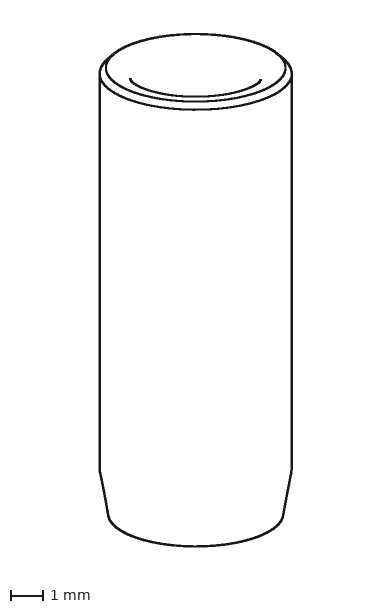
import cadquery as cq
import math

length = 15.0
outer_diameter = 6.0
bore_diameter = 4.0
top_chamfer = 0.2
mouth_fillet = 0.5
lead_in_length = 1.5
lead_in_angle = 10.0

outer_radius = outer_diameter / 2
bore_radius = bore_diameter / 2
lead_in_radius = outer_radius - lead_in_length * math.tan(math.radians(lead_in_angle))


def sleeve_body():
    """Solid pin: tapered lead-in, straight shank and chamfered top, revolved about Z."""
    half_profile = (
        cq.Workplane("XZ")
        .moveTo(0, 0)
        .lineTo(lead_in_radius, 0)
        .lineTo(outer_radius, lead_in_length)
        .lineTo(outer_radius, length - top_chamfer)
        .lineTo(outer_radius - top_chamfer, length)
        .lineTo(0, length)
        .close()
    )
    return half_profile.revolve(360, (0, 0, 0), (0, 1, 0))


def add_bore(body):
    """Cut the through bore and round its upper mouth."""
    bored = body.cut(cq.Workplane("XY").circle(bore_radius).extrude(length))
    return bored.faces(">Z").edges(cq.selectors.RadiusNthSelector(0)).fillet(mouth_fillet)


result = add_bore(sleeve_body())